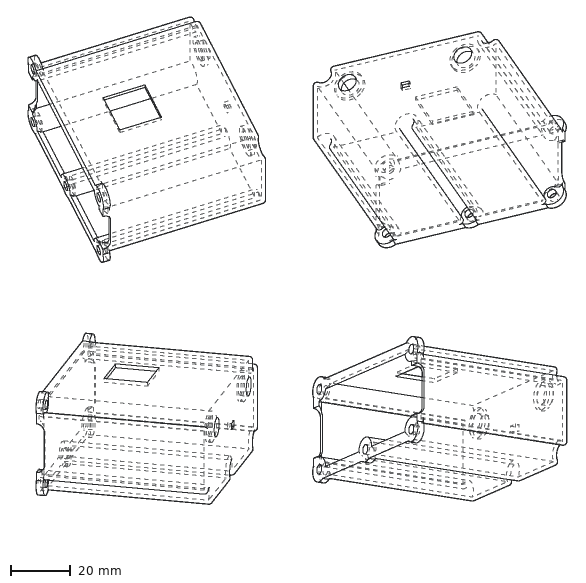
import cadquery as cq
import math

length = 59.3
half_width = 33.8
overall_width = 68.55
overall_height = 36.5
top_z = 16.85
bottom_z = -17.6
wall = 1.4
back_edge_radius = 1.3

rim_width = 3.8
rim_taper = rim_width - wall
flange_thickness = 2.5

lug_radius = 4.3
lug_x = overall_width / 2 - lug_radius
lug_z = overall_height / 2 - lug_radius
screw_diameter = 3.2
groove_radius = 2.8
groove_lip_radius = 1.4
boss_radius = groove_radius + wall
corner_axes = [(sx * lug_x, sz * lug_z) for sx in (-1, 1) for sz in (-1, 1)]
middle_axis = (0, -lug_z)
screw_axes = corner_axes + [middle_axis]

notch_top_z = 8.2
notch_bottom_z = -9.2
notch_depth = 2.75

window_size = 15.1
window_y = 24.1

round_hole_x = 21.0
round_hole_z = 8.0
round_hole_diameter = 6.5
collar_diameter = 10.5
collar_height = 1.4
small_slot_width = 3.0
small_slot_height = 2.2
small_slot_z = 1.5

TOP, RIGHT, BOTTOM, LEFT = (0, 1), (1, 0), (0, -1), (-1, 0)
FACE_OFFSET = {TOP: top_z, RIGHT: half_width, BOTTOM: -bottom_z, LEFT: half_width}


def front_plane(y=0.0):
    """XZ workplane at depth y; negative extrusions run towards the back."""
    return cq.Workplane("XZ", origin=(0, y, 0))


def shift(point, direction, distance):
    return point[0] + direction[0] * distance, point[1] + direction[1] * distance


def unit(x, z):
    size = math.hypot(x, z)
    return x / size, z / size


def groove_side(axis, normal, travel_sign):
    """Three points of a groove lip: on the flat face, mid-lip, and where the groove starts."""
    face_distance = FACE_OFFSET[normal] - axis[0] * normal[0] - axis[1] * normal[1]
    rise = face_distance - groove_lip_radius
    reach = math.sqrt((groove_radius + groove_lip_radius) ** 2 - rise ** 2)
    travel = (normal[1] * travel_sign, -normal[0] * travel_sign)
    centre = shift(shift(axis, normal, rise), travel, reach)
    to_axis = unit(axis[0] - centre[0], axis[1] - centre[1])
    lip_middle = unit(normal[0] + to_axis[0], normal[1] + to_axis[1])
    return [shift(centre, direction, groove_lip_radius) for direction in (normal, lip_middle, to_axis)]


def add_groove(outline, axis, first_face, last_face):
    """Continue a clockwise outline from one flat face, through a groove, to the next face."""
    face_end, lip_in, groove_start = groove_side(axis, first_face, -1)
    face_start, lip_out, groove_end = groove_side(axis, last_face, 1)
    inward = unit(-first_face[0] - last_face[0], -first_face[1] - last_face[1])
    groove_bottom = shift(axis, inward, groove_radius)
    return (
        outline.lineTo(*face_end)
        .threePointArc(lip_in, groove_start)
        .threePointArc(groove_bottom, groove_end)
        .threePointArc(lip_out, face_start)
    )


def grooved_body():
    outline = front_plane().moveTo(0, top_z)
    outline = add_groove(outline, (lug_x, lug_z), TOP, RIGHT)
    outline = add_groove(outline, (lug_x, -lug_z), RIGHT, BOTTOM)
    outline = add_groove(outline, middle_axis, BOTTOM, BOTTOM)
    outline = add_groove(outline, (-lug_x, -lug_z), BOTTOM, LEFT)
    outline = add_groove(outline, (-lug_x, lug_z), LEFT, TOP)
    return outline.close().extrude(-length).faces(">Y").edges().fillet(back_edge_radius)


def inset_box(inset, y, depth, taper=0):
    """Block on the outer rectangle of the housing, drawn in by inset on every side."""
    return (
        front_plane(y)
        .center(0, (top_z + bottom_z) / 2)
        .rect(2 * (half_width - inset), top_z - bottom_z - 2 * inset)
        .extrude(-depth, taper=taper)
    )


def discs(centres, diameter, y, depth):
    return front_plane(y).pushPoints(centres).circle(diameter / 2).extrude(-depth)


def flange():
    """Front plate whose corners are rounded by the lugs."""
    height = top_z - bottom_z
    upright = front_plane().center(0, (top_z + bottom_z) / 2).rect(2 * lug_x, height)
    crossways = front_plane().rect(2 * half_width, 2 * lug_z)
    plate = upright.extrude(-flange_thickness).union(crossways.extrude(-flange_thickness))
    return plate.union(discs(screw_axes, 2 * lug_radius, 0, flange_thickness))


def cavity():
    """Inner space: tapered mouth, then full size to the back wall, less the screw bosses."""
    mouth = inset_box(wall, rim_taper, -rim_taper, taper=45)
    chamber = inset_box(wall, rim_taper, length - wall - rim_taper)
    return mouth.union(chamber).cut(discs(screw_axes, 2 * boss_radius, 0, length))


def side_notch():
    """Block with rounded inner edges; its front half lies outside the housing."""
    height = notch_top_z - notch_bottom_z
    middle_z = (notch_top_z + notch_bottom_z) / 2
    block = cq.Workplane("XY").box(2 * half_width, 2 * notch_depth, height)
    return block.edges("|X and >Y").fillet(notch_depth).translate((0, 0, middle_z))


def window():
    return (
        cq.Workplane("XY", origin=(0, window_y, 0))
        .rect(window_size, window_size)
        .extrude(top_z)
    )


round_holes = [(-round_hole_x, round_hole_z), (round_hole_x, round_hole_z)]
back_wall_y = length - wall
small_slot = (
    front_plane(back_wall_y)
    .center(0, small_slot_z)
    .rect(small_slot_width, small_slot_height)
    .extrude(-wall)
)

result = (
    grooved_body()
    .union(flange())
    .cut(cavity())
    .cut(side_notch())
    .cut(window())
    .cut(discs(screw_axes, screw_diameter, 0, flange_thickness))
    .union(discs(round_holes, collar_diameter, back_wall_y - collar_height, collar_height))
    .cut(discs(round_holes, round_hole_diameter, back_wall_y - collar_height, collar_height + wall))
    .cut(small_slot)
)